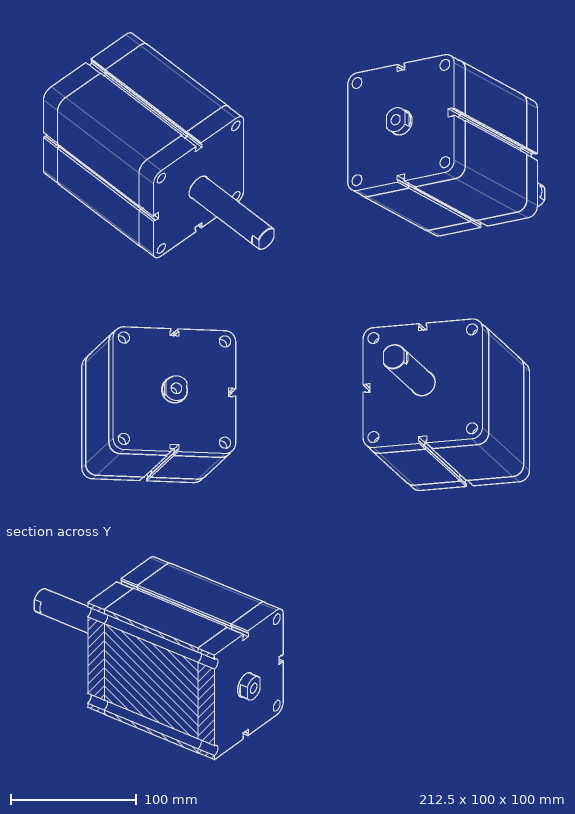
import cadquery as cq
import math


tube_side = 100.0
cap_side = 99.4
cap_length = 16.5
tube_length = 93.5
body_length = tube_length + 2 * cap_length

bolt_offset = 41.0
bolt_hole_diameter = 9.0

slot_floor_height = 44.0
slot_lip_height = 47.5
tube_slot_mouth = 5.2
tube_slot_width = 6.2
cap_slot_mouth = 5.8
cap_slot_width = 7.0

rod_diameter = 20.0
rod_front_reach = 8.0
rod_length = 212.5
rod_flat_width = 17.0
front_flat_length = 6.5
rear_flat_length = 7.0
rod_end_chamfer = 0.5
rod_hole_diameter = 8.5
rod_hole_depth = 20.0
drill_half_angle = 59.0
bore_chamfer = 0.5


def undercut_slot(start, length, mouth, width):
    """Slot cutter along X on the +Z side: a wide channel under a narrower mouth."""
    lip_height = tube_side / 2 - slot_lip_height
    channel_height = slot_lip_height - slot_floor_height
    channel = cq.Workplane("XY").box(length, width, channel_height, centered=(False, True, False))
    channel = channel.translate((start, 0, slot_floor_height))
    neck = cq.Workplane("XY").box(length, mouth, lip_height, centered=(False, True, False))
    neck = neck.translate((start, 0, slot_lip_height))
    return channel.union(neck)


def body_section(start, length, side, mouth, width):
    """Rounded square block with corner bolt holes, rod bore and three sensor slots."""
    block = (
        cq.Workplane("YZ", origin=(start, 0, 0))
        .rect(side, side)
        .extrude(length)
        .edges("|X")
        .fillet(side / 2 - bolt_offset)
    )
    block = (
        block.faces("<X")
        .workplane(origin=(start, 0, 0))
        .rect(2 * bolt_offset, 2 * bolt_offset, forConstruction=True)
        .vertices()
        .hole(bolt_hole_diameter)
    )
    bore = cq.Workplane("YZ", origin=(start, 0, 0)).circle(rod_diameter / 2).extrude(length)
    block = block.cut(bore)
    slot = undercut_slot(start, length, mouth, width)
    for angle in (0, 90, 180):
        block = block.cut(slot.rotate((0, 0, 0), (1, 0, 0), angle))
    return block


def end_cap(start):
    return body_section(start, cap_length, cap_side, cap_slot_mouth, cap_slot_width)


def chamfer_bore_mouth(cap, face):
    """Chamfer the rod bore where it opens on the outer face of a cap."""
    mouth_edge = cq.selectors.RadiusNthSelector(-1)
    return cap.faces(face).edges("%CIRCLE").edges(mouth_edge).chamfer(bore_chamfer)


def flats_cutter(start, length):
    """Two blocks that leave a pair of wrench flats facing -Y and +Y."""
    return (
        cq.Workplane("YZ", origin=(start, 0, 0))
        .rect(2 * rod_diameter, 2 * rod_diameter)
        .rect(rod_flat_width, 2 * rod_diameter)
        .extrude(length)
    )


def drilled_hole(start):
    """Blind hole along +X with a conical drill point."""
    radius = rod_hole_diameter / 2
    point_length = radius / math.tan(math.radians(drill_half_angle))
    return (
        cq.Workplane("XY", origin=(start, 0, 0))
        .polyline([(0, 0), (0, radius), (rod_hole_depth, radius), (rod_hole_depth + point_length, 0)])
        .close()
        .revolve(360, (0, 0, 0), (1, 0, 0))
    )


def make_rod():
    front_end = -rod_front_reach
    rear_end = front_end + rod_length
    rod = (
        cq.Workplane("YZ", origin=(front_end, 0, 0))
        .circle(rod_diameter / 2)
        .extrude(rod_length)
        .faces(">X")
        .chamfer(rod_end_chamfer)
    )
    rod = rod.cut(flats_cutter(front_end, front_flat_length))
    rod = rod.cut(flats_cutter(rear_end - rear_flat_length, rear_flat_length))
    return rod.cut(drilled_hole(front_end))


front_cap = chamfer_bore_mouth(end_cap(0), "<X")
tube = body_section(cap_length, tube_length, tube_side, tube_slot_mouth, tube_slot_width)
rear_cap = chamfer_bore_mouth(end_cap(cap_length + tube_length), ">X")
rod = make_rod()

result = cq.Compound.makeCompound([front_cap.val(), tube.val(), rear_cap.val(), rod.val()])